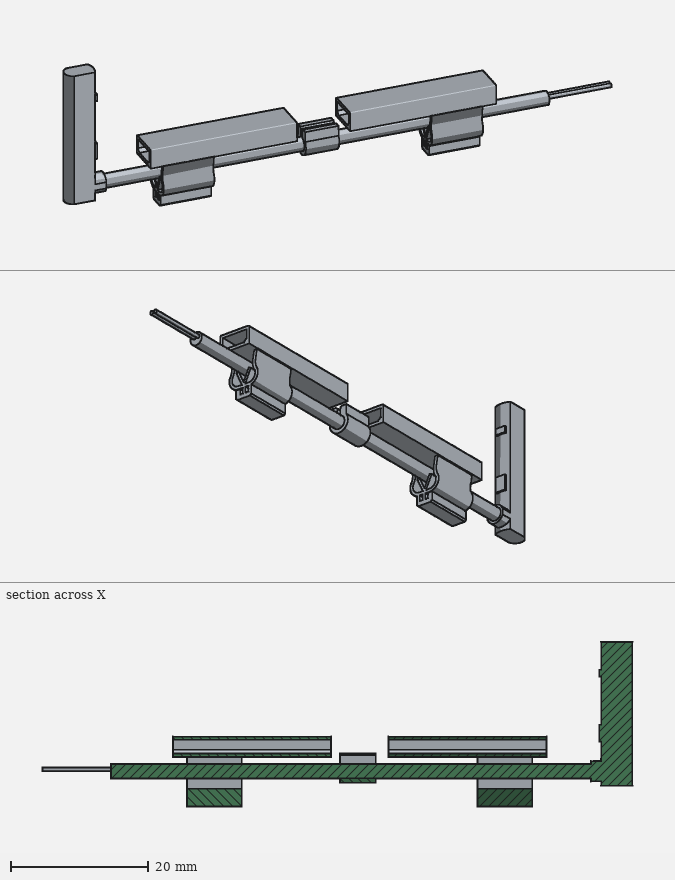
import cadquery as cq
import math


HEAD_WIDTH = 2.8
HEAD_TOP = 18.8
HEAD_BOTTOM = -2.15
HEAD_SIDE_FRONT = 1.0
HEAD_SIDE_BACK = 4.3
HEAD_BACK = 4.65
PAD_WIDTH = 1.7
PAD_BACK = 4.9
PAD_SPANS = [(13.8, 14.8), (4.3, 6.8)]
COLLAR_DIAMETER = 3.0
COLLAR_END = 6.1
CABLE_DIAMETER = 2.15
CABLE_END = 76.0
WIRE_DIAMETER = 0.6
WIRE_PITCH = 0.7
WIRE_HEIGHT = 0.3
SENSOR_LENGTH = 86.0

SLEEVE_FRONT = 37.4
SLEEVE_LENGTH = 5.25
SLEEVE_DIAMETER = 3.4
JAW_WIDTH = 2.8
JAW_TOP = 2.6
JAW_SLOT = 0.5
SLOT_CHAMFER = 0.3

TUBE_FRONTS = [12.55, 43.95]
TUBE_WIDTH = 5.4
TUBE_LENGTH = 23.05
TUBE_TOP = 5.1
TUBE_BOTTOM = 2.1
TUBE_ROUND = 0.3
TUBE_CORNER_FILL = 0.5
WALL = 0.5
SPRING_SETBACK = 2.1
SPRING_LENGTH = 8.0
LEG_TOP_X = 2.5
NECK_X = 2.2
NECK_Z = 0.5
LOBE_X = 0.95
LOBE_Z = -1.7
LOBE_RADIUS = 1.7
LOBE_START_ANGLE = 20.0
CRADLE_HALF_ANGLE = 25.0
CRADLE_THICKNESS = 0.4
LATCH_WIDTH = 2.8
LATCH_TOP = -3.5
LATCH_BOTTOM = -5.2
LATCH_FLOOR = 0.8
LATCH_CHAMFER = 0.3
HOOK_THICKNESS = 0.8
PRONG_LEFT = -0.2


def box(x_span, y_span, z_span):
    (x0, x1), (y0, y1), (z0, z1) = x_span, y_span, z_span
    return cq.Workplane("XY").box(x1 - x0, y1 - y0, z1 - z0, centered=False).translate((x0, y0, z0))


def along_y(start, x=0, z=0):
    """Workplane at Y = start whose sketches extrude toward +Y; local x is -X, local y is Z."""
    return cq.Workplane(cq.Plane(origin=(x, start, z), xDir=(-1, 0, 0), normal=(0, 1, 0)))


def rod(diameter, start, end, x=0, z=0):
    return along_y(start, x, z).circle(diameter / 2).extrude(end - start)


def profile_along_y(outline, start, length):
    """Extrude an outline drawn in the XZ plane from Y = start toward +Y."""
    return outline.extrude(-length).translate((0, start, 0))


def make_sensor():
    half = HEAD_WIDTH / 2
    head = (
        cq.Workplane("XY", origin=(0, 0, HEAD_BOTTOM))
        .moveTo(-half, HEAD_SIDE_FRONT)
        .threePointArc((0, 0), (half, HEAD_SIDE_FRONT))
        .lineTo(half, HEAD_SIDE_BACK)
        .threePointArc((0, HEAD_BACK), (-half, HEAD_SIDE_BACK))
        .close()
        .extrude(HEAD_TOP - HEAD_BOTTOM)
    )
    for pad_span in PAD_SPANS:
        head = head.union(box((-PAD_WIDTH / 2, PAD_WIDTH / 2), (HEAD_SIDE_BACK, PAD_BACK), pad_span))

    radius = COLLAR_DIAMETER / 2
    collar_span = (HEAD_SIDE_BACK, COLLAR_END)
    collar = rod(COLLAR_DIAMETER, *collar_span).intersect(box((-half, half), collar_span, (-radius, radius)))

    sensor = head.union(collar).union(rod(CABLE_DIAMETER, HEAD_SIDE_BACK, CABLE_END))
    for side in (-1, 1):
        sensor = sensor.union(
            rod(WIRE_DIAMETER, CABLE_END, SENSOR_LENGTH, side * WIRE_PITCH / 2, WIRE_HEIGHT)
        )
    return sensor


def make_slot():
    """Slot between the jaws, from the cable axis to the jaw tops, with chamfered rims."""
    half = JAW_SLOT / 2
    rim_half = half + SLOT_CHAMFER
    rim_bottom = JAW_TOP - SLOT_CHAMFER
    outline = cq.Workplane("XZ").polyline(
        [
            (-half, 0),
            (half, 0),
            (half, rim_bottom),
            (rim_half, JAW_TOP),
            (-rim_half, JAW_TOP),
            (-half, rim_bottom),
        ]
    ).close()
    return profile_along_y(outline, SLEEVE_FRONT, SLEEVE_LENGTH)


def make_sleeve():
    y_span = (SLEEVE_FRONT, SLEEVE_FRONT + SLEEVE_LENGTH)
    jaws = box((-JAW_WIDTH / 2, JAW_WIDTH / 2), y_span, (0, JAW_TOP))
    bore = rod(CABLE_DIAMETER, *y_span)
    return rod(SLEEVE_DIAMETER, *y_span).union(jaws).cut(make_slot()).cut(bore)


def make_tube():
    half = TUBE_WIDTH / 2
    y_span = (0, TUBE_LENGTH)
    tube = box((-half, half), y_span, (TUBE_BOTTOM, TUBE_TOP)).edges("|Y and >Z").fillet(TUBE_ROUND)
    inside = box((WALL - half, half - WALL), y_span, (TUBE_BOTTOM + WALL, TUBE_TOP - WALL))
    return tube.cut(inside.edges("|Y and <Z").chamfer(TUBE_CORNER_FILL))


def make_spring_outline(inset):
    """Solid between the YZ plane and the +X arm's outer face, moved inward by the inset."""
    radius = LOBE_RADIUS - inset

    def lobe_point(angle):
        turn = math.radians(angle)
        return (LOBE_X + radius * math.cos(turn), LOBE_Z + radius * math.sin(turn))

    outline = (
        cq.Workplane("XZ")
        .moveTo(0, TUBE_BOTTOM)
        .lineTo(LEG_TOP_X - inset, TUBE_BOTTOM)
        .lineTo(NECK_X - inset, NECK_Z)
        .tangentArcPoint(lobe_point(LOBE_START_ANGLE), relative=False)
        .threePointArc(lobe_point((LOBE_START_ANGLE - 90) / 2), lobe_point(-90))
        .lineTo(0, LOBE_Z - radius)
        .close()
    )
    return profile_along_y(outline, SPRING_SETBACK, SPRING_LENGTH)


def make_spring_arm():
    """Arm at +X: a slanted leg, a neck and a round lobe that ends at the middle."""
    return make_spring_outline(0).cut(make_spring_outline(WALL))


def make_cradle():
    """V under the cable; its inner faces are tangent to the cable."""
    turn = math.radians(CRADLE_HALF_ANGLE)
    inner = CABLE_DIAMETER / 2
    outer = inner + CRADLE_THICKNESS
    bottom = LOBE_Z - LOBE_RADIUS + WALL / 2
    foot = (bottom + outer / math.sin(turn)) * math.tan(turn)
    tip = (inner * math.cos(turn), -inner * math.sin(turn))
    tip_outer = (outer * math.cos(turn), -outer * math.sin(turn))
    outline = cq.Workplane("XZ").polyline(
        [
            (0, -inner / math.sin(turn)),
            tip,
            tip_outer,
            (foot, bottom),
            (-foot, bottom),
            (-tip_outer[0], tip_outer[1]),
            (-tip[0], tip[1]),
        ]
    ).close()
    return profile_along_y(outline, SPRING_SETBACK, SPRING_LENGTH)


def make_latch():
    """Tray below the lobes: a wall from the +X lobe, a hook at -X and a prong from the -X lobe."""
    half = LATCH_WIDTH / 2
    y_span = (SPRING_SETBACK, SPRING_SETBACK + SPRING_LENGTH)
    lobe_middle = LOBE_Z - LOBE_RADIUS + WALL / 2
    floor_top = LATCH_BOTTOM + LATCH_FLOOR
    floor = box((-half, half), y_span, (LATCH_BOTTOM, floor_top)).edges("|Y and <Z").chamfer(LATCH_CHAMFER)
    hook = box((-half, HOOK_THICKNESS - half), y_span, (floor_top, LATCH_TOP))
    prong = box((PRONG_LEFT, PRONG_LEFT + WALL), y_span, (floor_top, lobe_middle))
    wall = box((half - WALL, half), y_span, (floor_top, lobe_middle))
    return floor.union(hook).union(prong).union(wall)


def make_clip():
    arm = make_spring_arm()
    spring = arm.union(arm.mirror("YZ")).union(make_cradle()).union(make_latch())
    return make_tube().union(spring)


def place_clip(clip, tube_front, turned):
    """The turned clip is rotated half a turn about Z, so its spring is near its back end."""
    if turned:
        clip = clip.rotate((0, 0, 0), (0, 0, 1), 180).translate((0, TUBE_LENGTH, 0))
    return clip.translate((0, tube_front, 0))


sensor = make_sensor()
sleeve = make_sleeve()
clip = make_clip()
clips = [place_clip(clip, tube_front, turned) for tube_front, turned in zip(TUBE_FRONTS, (False, True))]

result = cq.Compound.makeCompound([sensor.val(), sleeve.val(), *[placed.val() for placed in clips]])